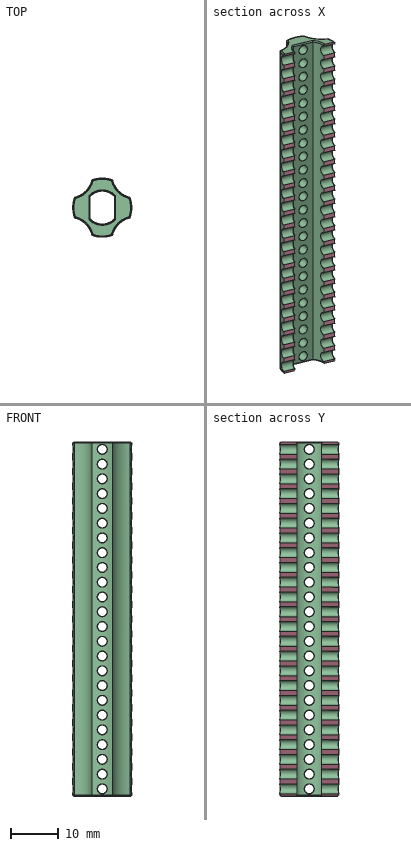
import cadquery as cq
import math

length = 75.0
outer_diameter = 12.5
lobe_half_width = 2.2
flute_depth_radius = 4.95
bore_diameter = 7.0
bore_width = 5.2
hole_diameter = 2.0
holes_per_row = 24
end_chamfer = 0.26

outer_radius = outer_diameter / 2
lobe_edge_radial = math.sqrt(outer_radius**2 - lobe_half_width**2)
hole_pitch = length / holes_per_row


def rotated(point, degrees):
    """Turn a point about the tube axis."""
    x, y = point
    angle = math.radians(degrees)
    return (
        x * math.cos(angle) - y * math.sin(angle),
        x * math.sin(angle) + y * math.cos(angle),
    )


def make_fluted_bar():
    """Round bar with four concave flutes, leaving a lobe on +X, +Y, -X and -Y."""
    lobe_start = (lobe_edge_radial, -lobe_half_width)
    lobe_middle = (outer_radius, 0)
    lobe_end = (lobe_edge_radial, lobe_half_width)
    flute_middle = rotated((flute_depth_radius, 0), 45)

    outline = cq.Workplane("XY").moveTo(*lobe_start)
    for turn in (0, 90, 180, 270):
        outline = outline.threePointArc(rotated(lobe_middle, turn), rotated(lobe_end, turn))
        outline = outline.threePointArc(rotated(flute_middle, turn), rotated(lobe_start, turn + 90))
    return outline.close().extrude(length)


def make_bore():
    """Round core with two flats facing +X and -X."""
    core = cq.Workplane("XY").circle(bore_diameter / 2).extrude(length)
    flats = cq.Workplane("XY").rect(bore_width, bore_diameter).extrude(length)
    return core.intersect(flats)


def make_cross_holes(plane):
    """One row of holes through the whole tube, evenly spaced along its length."""
    return (
        cq.Workplane(plane, origin=(0, 0, length / 2))
        .rarray(0.75, hole_pitch, 1, holes_per_row)
        .circle(hole_diameter / 2)
        .extrude(outer_radius, both=True)
    )


tube = make_fluted_bar().cut(make_bore())
tube = tube.faces("<Z or >Z").edges().chamfer(end_chamfer)
for hole_plane in ("XZ", "YZ"):
    tube = tube.cut(make_cross_holes(hole_plane))

result = tube